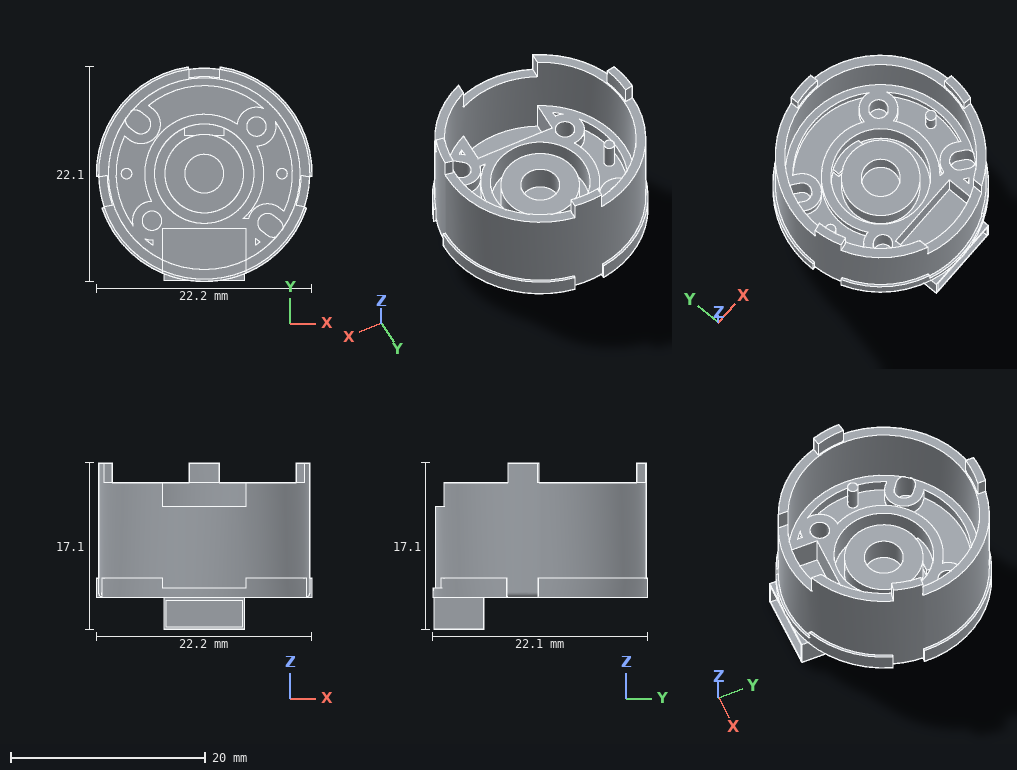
import cadquery as cq

outer_dia = 21.75
inner_dia = 19.75
base_top = 4.5
rim_height = 11.83
bottom_fillet = 0.5

key_angles = [90, 190, 350]
tab_width = 3.11
tab_inner_dia = 20.0
tab_top = 13.83
skirt_dia = 22.25
skirt_height = 2.0
skirt_gap_width = 3.3

opening_width = 8.58
notch_floor = 9.39
skirt_step = 1.0
pocket_back = -5.63

wall = 1.0
deep_floor = 1.0
recess_dia = 18.15
recess_floor = 3.0
well_dia = 10.25
disc_dia = 8.1
disc_top = 3.98
disc_hole_dia = 4.0
side_block_width = 4.05
side_block_front = 3.94
side_block_top = 2.0

fastener_dia = 2.0
hole_x, hole_y = 5.38, 4.85
slot_radius = 8.27
slot_travel = 0.75
slot_angle = 142.0

pin_dia = 1.1
pin_x = 8.0
pin_top = 6.0

connector_width = 8.3
connector_back = -5.87
connector_front = -11.0
connector_bottom = -3.27
connector_top = 0.0
connector_wall = 0.22
connector_roof = 0.31

boss_dia = fastener_dia + 2 * wall
boss_travel = inner_dia / 2 - slot_radius
ring_wall_dia = well_dia + 2 * wall


def cylinder(diameter, bottom, top):
    return cq.Workplane("XY").workplane(offset=bottom).circle(diameter / 2).extrude(top - bottom)


def ring(outside, inside, bottom, top):
    return cylinder(outside, bottom, top).cut(cylinder(inside, bottom, top))


def block(width, y_from, y_to, bottom, top):
    """A box centred on X = 0."""
    return cq.Workplane("XY").box(width, y_to - y_from, top - bottom, centered=(True, False, False)).translate(
        (0, y_from, bottom)
    )


def key_blocks(width, bottom, top):
    """Radial blocks at the key angles, reaching from the axis past the skirt."""
    bar = cq.Workplane("XY").box(skirt_dia, width, top - bottom, centered=(False, True, False))
    blocks = cq.Workplane("XY")
    for angle in key_angles:
        blocks = blocks.add(bar.translate((0, 0, bottom)).rotate((0, 0, 0), (0, 0, 1), angle))
    return blocks.combine()


def opening(y_to, bottom, top):
    """A box as wide as the -Y opening, from outside the skirt inwards to y_to."""
    return block(opening_width, -skirt_dia, y_to, bottom, top)


def hole_columns(diameter, bottom, top):
    """Cylinders at the two round fastener holes."""
    return (
        cq.Workplane("XY")
        .workplane(offset=bottom)
        .pushPoints([(hole_x, hole_y), (-hole_x, -hole_y)])
        .circle(diameter / 2)
        .extrude(top - bottom)
    )


def slot_columns(diameter, travel, bottom, top):
    """Radial slot-shaped columns at the two fastener slots."""
    middle_radius = slot_radius + travel / 2
    columns = cq.Workplane("XY")
    for angle in (slot_angle, slot_angle + 180):
        column = (
            cq.Workplane("XY")
            .workplane(offset=bottom)
            .center(middle_radius, 0)
            .slot2D(travel + diameter, diameter)
            .extrude(top - bottom)
        )
        columns = columns.add(column.rotate((0, 0, 0), (0, 0, 1), angle))
    return columns.combine()


def make_shell():
    shell = cylinder(outer_dia, 0, rim_height).faces("<Z").edges().fillet(bottom_fillet)
    shell = shell.cut(cylinder(inner_dia, base_top, rim_height))
    return shell.cut(opening(0, notch_floor, rim_height))


def make_tabs():
    return ring(outer_dia, tab_inner_dia, rim_height, tab_top).intersect(
        key_blocks(tab_width, rim_height, tab_top)
    )


def make_skirt():
    skirt = ring(skirt_dia, inner_dia, 0, skirt_height)
    skirt = skirt.cut(key_blocks(skirt_gap_width, 0, skirt_height))
    upper_step = opening(0, skirt_step, skirt_height).cut(cylinder(outer_dia, 0, skirt_height))
    return skirt.cut(upper_step)


def make_recess():
    """Ring-shaped hollow, interrupted by the bosses and by the wall around the pocket."""
    recess = ring(recess_dia, ring_wall_dia, recess_floor, base_top)
    recess = recess.cut(hole_columns(boss_dia, recess_floor, base_top))
    recess = recess.cut(slot_columns(boss_dia, boss_travel, recess_floor, base_top))
    pocket_surround = block(
        opening_width + 2 * wall, -skirt_dia, pocket_back + wall, recess_floor, base_top
    )
    return recess.cut(pocket_surround)


def make_well():
    """Central well around a lower disc, with the disc's blind hole and a low block beside the disc."""
    well = ring(well_dia, disc_dia, deep_floor, disc_top).union(cylinder(well_dia, disc_top, base_top))
    side_block = block(side_block_width, side_block_front, well_dia / 2, deep_floor, side_block_top)
    disc_hole = cylinder(disc_hole_dia, deep_floor, disc_top)
    return well.cut(side_block).union(disc_hole)


def make_pocket():
    return opening(pocket_back, deep_floor, base_top).intersect(cylinder(inner_dia, deep_floor, base_top))


def make_housing():
    housing = make_shell().union(make_skirt()).union(make_tabs())
    housing = housing.cut(make_recess()).cut(make_well()).cut(make_pocket())
    housing = housing.cut(hole_columns(fastener_dia, deep_floor, base_top))
    return housing.cut(slot_columns(fastener_dia, slot_travel, deep_floor, base_top))


def make_pin(x):
    return cylinder(pin_dia, recess_floor, pin_top).translate((x, 0, 0))


def make_connector():
    shell = block(connector_width, connector_front, connector_back, connector_bottom, connector_top)
    cavity = block(
        connector_width - 2 * connector_wall,
        connector_front,
        connector_back - connector_wall,
        connector_bottom + connector_wall,
        connector_top - connector_roof,
    )
    return shell.cut(cavity)


housing = make_housing()
connector = make_connector()
pins = [make_pin(x) for x in (-pin_x, pin_x)]

result = cq.Compound.makeCompound([housing.val(), connector.val(), *[pin.val() for pin in pins]])